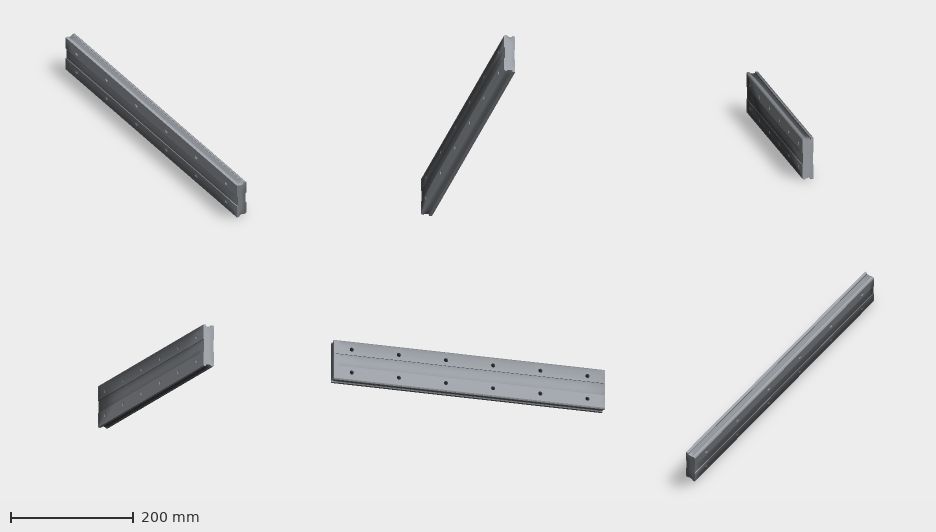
import cadquery as cq

length = 460.0
thickness = 19.0
height = 69.0

band_height = 20.5
band_depth = 1.5

front_lip = 4.5
front_wall_depth = 2.5
floor_middle = 7.0
floor_end = 10.0
floor_depth = 2.8
bevel_start = 11.5
bevel_start_depth = 2.5
back_lip_start = 14.3
back_wall_depth = 0.7
back_chamfer = 2.0

hole_diameter = 7.0
holes_per_row = 6
hole_end_distance = 30.0
row_spacing = 40.0
hole_pitch = (length - 2 * hole_end_distance) / (holes_per_row - 1)


def rail_body():
    """Extrude the upper half of the section along X and mirror it about Z = 0."""
    front = -thickness / 2
    back = thickness / 2
    top = height / 2
    band_top = band_height / 2
    edge_profile = (
        cq.Workplane("YZ")
        .moveTo(front + band_depth, 0)
        .lineTo(front + band_depth, band_top)
        .lineTo(front, band_top)
        .lineTo(front, top)
        .lineTo(front + front_lip, top)
        .lineTo(front + front_lip, top - front_wall_depth)
        .threePointArc(
            (front + floor_middle, top - floor_depth),
            (front + floor_end, top - floor_depth),
        )
        .lineTo(front + bevel_start, top - bevel_start_depth)
        .lineTo(front + back_lip_start, top - back_wall_depth)
        .lineTo(front + back_lip_start, top)
        .lineTo(back - back_chamfer, top)
        .lineTo(back, top - back_chamfer)
        .lineTo(back, band_top)
        .lineTo(back - band_depth, band_top)
        .lineTo(back - band_depth, 0)
        .close()
    )
    upper_half = edge_profile.extrude(length / 2, both=True)
    return upper_half.union(upper_half.mirror("XY")).clean()


def mounting_holes():
    """Cylinders running through the whole thickness along Y."""
    return (
        cq.Workplane("XZ")
        .rarray(hole_pitch, row_spacing, holes_per_row, 2)
        .circle(hole_diameter / 2)
        .extrude(thickness, both=True)
    )


result = rail_body().cut(mounting_holes())